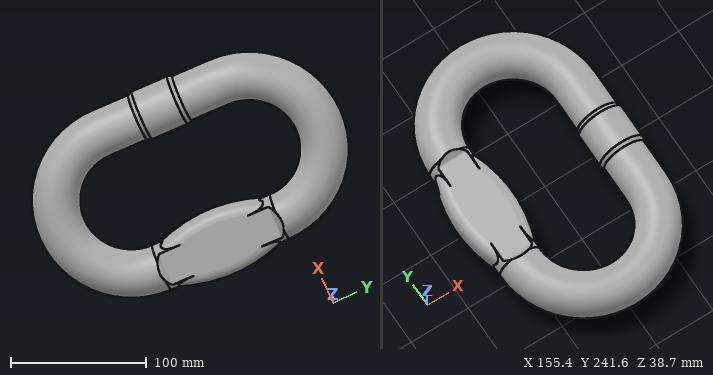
import cadquery as cq
import math

overall_length = 241.6
overall_width = 155.4
wire_diameter = 36.0
wire_radius = wire_diameter / 2

sleeve_diameter = 38.7
sleeve_length = 35.8
sleeve_bevel_length = 3.6
sleeve_bevel_depth = (sleeve_diameter - wire_diameter) / 2

grip_thickness = 25.9
grip_width = 50.5
grip_bar_diameter = 36.2
grip_side_radius = 108.7
grip_edge_radius = 8.7
flat_half_length = 44.0
ramp_angle = 45
ramp_corner_radius = 2.5

arm_spacing = overall_width - (sleeve_diameter + grip_width) / 2
bend_radius = arm_spacing / 2
straight_length = overall_length - wire_diameter - arm_spacing


def make_ring():
    half_straight = straight_length / 2
    path = (
        cq.Workplane("XY")
        .moveTo(bend_radius, -half_straight)
        .lineTo(bend_radius, half_straight)
        .threePointArc((0, half_straight + bend_radius), (-bend_radius, half_straight))
        .lineTo(-bend_radius, -half_straight)
        .threePointArc((0, -half_straight - bend_radius), (bend_radius, -half_straight))
        .close()
    )
    section = cq.Workplane("XZ", origin=(bend_radius, -half_straight, 0)).circle(wire_radius)
    return section.sweep(path)


def make_sleeve():
    half_length = sleeve_length / 2
    outer_radius = sleeve_diameter / 2
    bevel_radius = outer_radius - sleeve_bevel_depth
    bevel_start = half_length - sleeve_bevel_length
    profile = [
        (0, -half_length),
        (bevel_radius, -half_length),
        (outer_radius, -bevel_start),
        (outer_radius, bevel_start),
        (bevel_radius, half_length),
        (0, half_length),
    ]
    sleeve = cq.Workplane("XY").polyline(profile).close().revolve(360, (0, 0), (0, 1))
    return sleeve.translate((bend_radius, 0, 0))


def make_grip_bar():
    """Slightly thicker round bar that forms the -X arm."""
    bar = cq.Workplane("XZ").circle(grip_bar_diameter / 2).extrude(straight_length / 2, both=True)
    return bar.translate((-bend_radius, 0, 0))


def make_flat_cutter():
    """Trapezoidal block that flattens the top of the -X arm, with ramps at both ends."""
    floor_z = grip_thickness / 2
    depth = wire_diameter - floor_z
    top_half_length = flat_half_length + depth / math.tan(math.radians(ramp_angle))
    profile = [
        (-flat_half_length, floor_z),
        (flat_half_length, floor_z),
        (top_half_length, wire_diameter),
        (-top_half_length, wire_diameter),
    ]
    block = cq.Workplane("YZ").polyline(profile).close().extrude(grip_bar_diameter, both=True)
    block = block.edges("|X and <Z").fillet(ramp_corner_radius)
    return block.translate((-bend_radius, 0, 0))


def make_bulge():
    """Lens-shaped plate, wider than the arm, with rounded long edges."""
    half_width = grip_width / 2
    tip_y = math.sqrt(grip_side_radius**2 - (grip_side_radius - half_width) ** 2)
    plate = (
        cq.Workplane("XY")
        .moveTo(0, -tip_y)
        .threePointArc((half_width, 0), (0, tip_y))
        .threePointArc((-half_width, 0), (0, -tip_y))
        .close()
        .extrude(grip_thickness / 2, both=True)
        .faces("|Z")
        .edges()
        .fillet(grip_edge_radius)
    )
    return plate.translate((-bend_radius, 0, 0))


top_cutter = make_flat_cutter()
bottom_cutter = top_cutter.mirror("XY")
flattened_ring = make_ring().union(make_grip_bar()).cut(top_cutter).cut(bottom_cutter)
result = flattened_ring.union(make_bulge()).union(make_sleeve())